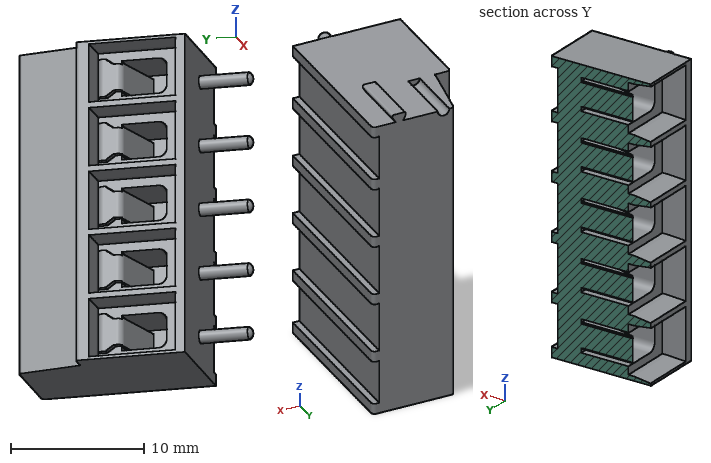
import cadquery as cq
import math

pole_count = 5
pitch = 5.0
pole_heights = [(i - (pole_count - 1) / 2) * pitch for i in range(pole_count)]

width = 9.0
depth = 13.5
height = pole_count * pitch
left_x = -width / 2
right_x = width / 2
back_y = depth
top_z = height / 2
shoulder_y = 8.5
shoulder_width = 1.3
slant_angle = math.radians(10)
back_edge_radius = 0.3
shoulder_edge_radius = 0.25

rib_height = 0.55
rib_width = 0.9

rail_height = 0.68
rail_left_x = 1.92
rail_right_x = 2.58
rail_left_overhang = 0.28
rail_right_overhang = 0.42
rail_edge_radius = 0.17
groove_x = -1.44
groove_radius = 0.48

pocket_front_y = 0.74
pocket_length = 6.73
pocket_height = 4.55
draft_depth = 1.5
draft_angle = 7.5
straight_depth = 0.5
floor_x = left_x + draft_depth + straight_depth

hole_front_y = 1.95
hole_back_y = 5.43
hole_half_height = 1.38
hole_corner_radius = 0.65
hole_depth = 4.3
hole_end_x = floor_x + hole_depth

clamp_top_x = left_x + draft_depth
clamp_back_y = pocket_front_y + pocket_length - draft_depth * math.tan(math.radians(draft_angle))
clamp_round = 0.5
clamp_jaw_y = 5.33
clamp_tip_y = 4.13
clamp_head_half_height = 1.47
clamp_neck_half_height = 1.02
clamp_jaw_half_height = 1.11
clamp_head_end_y = 6.57
clamp_neck_start_y = 5.92
clamp_neck_end_y = 5.34

pin_radius = 0.5
pin_length = 4.1
pin_tip_height = 0.32


def make_housing():
    """Housing outline seen along Z, extruded over all poles, with the back and shoulder edges rounded."""
    slant_foot_x = left_x + shoulder_width
    slant_top_x = slant_foot_x + (back_y - shoulder_y) * math.tan(slant_angle)
    outline = [
        (left_x, 0),
        (right_x, 0),
        (right_x, back_y),
        (slant_top_x, back_y),
        (slant_foot_x, shoulder_y),
        (left_x, shoulder_y),
    ]
    housing = cq.Workplane("XY", origin=(0, 0, -top_z)).polyline(outline).close().extrude(height)
    housing = housing.edges("|Z and >Y").fillet(back_edge_radius)
    shoulder_edge = cq.selectors.NearestToPointSelector((left_x, shoulder_y, 0))
    return housing.edges(shoulder_edge).fillet(shoulder_edge_radius)


def make_rib_gaps():
    """Spaces between the ribs, which stand at both ends and between neighbouring poles."""
    ribs_z = [-top_z + rib_width / 2]
    ribs_z += [z + pitch / 2 for z in pole_heights[:-1]]
    ribs_z += [top_z - rib_width / 2]
    gaps = cq.Workplane("XY")
    for lower_z, upper_z in zip(ribs_z, ribs_z[1:]):
        gap = (
            cq.Workplane("XY")
            .box(rib_height, depth, upper_z - lower_z - rib_width, centered=(False, False, True))
            .translate((right_x - rib_height, 0, (lower_z + upper_z) / 2))
        )
        gaps = gaps.union(gap)
    return gaps


def make_rail():
    """Rail along Y on the top end, wider at its top than at its foot."""
    rail = (
        cq.Workplane("XZ", origin=(0, back_y, top_z))
        .moveTo(rail_left_x, 0)
        .lineTo(rail_right_x, 0)
        .lineTo(rail_right_x + rail_right_overhang, rail_height)
        .lineTo(rail_left_x - rail_left_overhang, rail_height)
        .close()
        .extrude(back_y - shoulder_y)
    )
    return rail.edges("|Y and >Z").fillet(rail_edge_radius)


def make_groove():
    """Cylinder along Y that cuts a half-round groove into the top end."""
    return (
        cq.Workplane("XZ", origin=(groove_x, back_y, top_z))
        .circle(groove_radius)
        .extrude(back_y - shoulder_y)
    )


def make_pocket():
    """Drafted mouth, a straight stretch behind it and the wire hole, for a pole at Z = 0."""
    mouth_y = pocket_front_y + pocket_length / 2
    mouth = (
        cq.Workplane("YZ", origin=(left_x, mouth_y, 0))
        .rect(pocket_length, pocket_height)
        .extrude(draft_depth, taper=draft_angle)
    )
    straight = mouth.faces(">X").wires().toPending().extrude(straight_depth)
    hole = (
        cq.Workplane("XY")
        .box(hole_depth, hole_back_y - hole_front_y, 2 * hole_half_height, centered=(False, False, True))
        .translate((floor_x, hole_front_y, 0))
        .edges("|X and <Y")
        .fillet(hole_corner_radius)
    )
    return mouth.union(straight).union(hole)


def make_clamp():
    """Clamp for a pole at Z = 0: a rounded side profile trimmed to its outline as seen along X."""
    profile = (
        cq.Workplane("XY", origin=(0, 0, -clamp_head_half_height))
        .moveTo(hole_end_x, clamp_tip_y)
        .lineTo(clamp_top_x, clamp_jaw_y)
        .lineTo(clamp_top_x, clamp_back_y)
        .lineTo(hole_end_x, clamp_back_y)
        .close()
        .extrude(2 * clamp_head_half_height)
        .edges("|Z and <X")
        .fillet(clamp_round)
    )
    half_outline = [
        (clamp_back_y, clamp_head_half_height),
        (clamp_head_end_y, clamp_head_half_height),
        (clamp_neck_start_y, clamp_neck_half_height),
        (clamp_neck_end_y, clamp_neck_half_height),
        (clamp_neck_end_y, clamp_jaw_half_height),
        (clamp_tip_y, clamp_jaw_half_height),
    ]
    mirrored = [(y, -z) for y, z in reversed(half_outline)]
    outline = (
        cq.Workplane("YZ", origin=(clamp_top_x, 0, 0))
        .polyline(half_outline + mirrored)
        .close()
        .extrude(hole_end_x - clamp_top_x)
    )
    return profile.intersect(outline)


def make_pin():
    """Domed pin along -Y for a pole at Z = 0."""
    dome_radius = (pin_radius**2 + pin_tip_height**2) / (2 * pin_tip_height)
    dome_center_y = dome_radius - pin_length
    half_angle = math.asin(pin_radius / dome_radius) / 2
    dome_middle = (-dome_radius * math.sin(half_angle), dome_center_y - dome_radius * math.cos(half_angle))
    return (
        cq.Workplane("XY")
        .lineTo(-pin_radius, 0)
        .lineTo(-pin_radius, pin_tip_height - pin_length)
        .threePointArc(dome_middle, (0, -pin_length))
        .close()
        .revolve(360, (0, 0), (0, 1))
    )


result = make_housing().union(make_rail()).cut(make_groove()).cut(make_rib_gaps())
for pole_z in pole_heights:
    place = (0, 0, pole_z)
    result = result.cut(make_pocket().translate(place))
    result = result.union(make_clamp().translate(place))
    result = result.union(make_pin().translate(place))